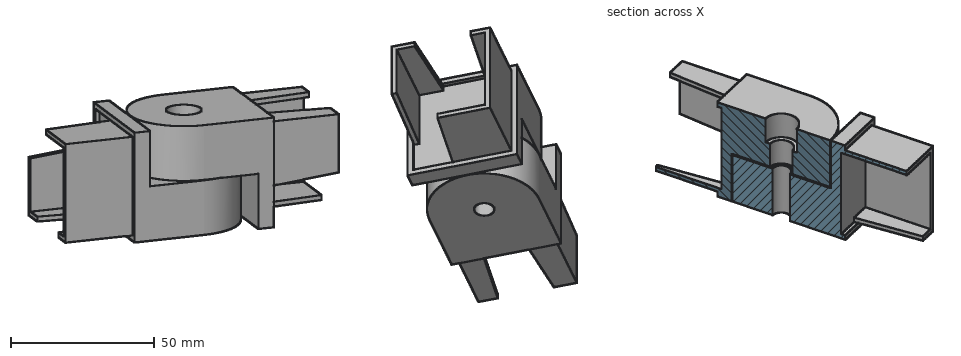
import cadquery as cq

length = 102.0
width = 40.0
flange_face = 26.0
flange_step = 20.2
knuckle_radius = width / 2
knuckle_gap = 0.2

rim = 2.0
wall = 1.8
recess_depth = 1.5
socket_width = width - 2 * rim
socket_inner = socket_width - 2 * wall
half_socket = socket_width / 2
tip = length / 2
recess_floor = flange_face - recess_depth

taper = 2.3
top_opening_edge = -1.2
bottom_opening_left = -9.6
bottom_opening_right = 10.9
side_opening_edge = 3.3

head_bore_diameter = 12.5
head_bore_depth = width / 4
upper_bore_diameter = 9.0
lower_bore_diameter = 7.0


def box(x_range, y_range, z_range):
    """Axis-aligned block between the given limits."""
    sizes = [high - low for low, high in (x_range, y_range, z_range)]
    corner = (x_range[0], y_range[0], z_range[0])
    return cq.Workplane("XY").box(*sizes, centered=False).translate(corner)


def flange():
    """Square plate with a shallow recess in its outer face."""
    half = width / 2
    plate = box((-half, half), (-flange_face, -flange_step), (-half, half))
    recess = box((-half_socket, half_socket), (-flange_face, -recess_floor), (-half_socket, half_socket))
    return plate.cut(recess)


def knuckle():
    """Lower tongue that ends in a round around the pivot axis."""
    base = -width / 2
    top = -knuckle_gap / 2
    shank = box((-width / 2, width / 2), (-flange_step, 0), (base, top))
    round_end = cq.Workplane("XY").workplane(offset=base).circle(knuckle_radius).extrude(top - base)
    return shank.union(round_end)


def socket():
    """Square tube along -Y with tapered openings in its top, bottom and left walls."""
    tube = (
        cq.Workplane("XZ", origin=(0, -recess_floor, 0))
        .rect(socket_width, socket_width)
        .rect(socket_inner, socket_inner)
        .extrude(tip - recess_floor)
    )

    inner = socket_inner / 2
    top_opening = (
        cq.Workplane("XY", origin=(0, 0, inner))
        .moveTo(-half_socket, -tip)
        .lineTo(top_opening_edge, -tip)
        .lineTo(top_opening_edge - taper, -recess_floor)
        .lineTo(-half_socket, -recess_floor)
        .close()
        .extrude(wall)
    )
    bottom_opening = (
        cq.Workplane("XY", origin=(0, 0, -half_socket))
        .moveTo(bottom_opening_left, -tip)
        .lineTo(bottom_opening_right, -tip)
        .lineTo(bottom_opening_right - taper, -recess_floor)
        .lineTo(bottom_opening_left + taper, -recess_floor)
        .close()
        .extrude(wall)
    )
    side_opening = (
        cq.Workplane("YZ", origin=(-half_socket, 0, 0))
        .moveTo(-tip, half_socket)
        .lineTo(-tip, side_opening_edge)
        .lineTo(-recess_floor, side_opening_edge + taper)
        .lineTo(-recess_floor, half_socket)
        .close()
        .extrude(wall)
    )
    return tube.cut(top_opening).cut(bottom_opening).cut(side_opening)


def hinge_half():
    """Undrilled half of the joint, with its socket towards -Y and its knuckle below."""
    return flange().union(knuckle()).union(socket())


def pivot_bore(diameter, bottom, top):
    """Cylinder on the pivot axis to be cut away between two heights."""
    return cq.Workplane("XY").workplane(offset=bottom).circle(diameter / 2).extrude(top - bottom)


def make_lower_half():
    """Half with its socket towards -Y, drilled with the smallest bore."""
    return hinge_half().cut(pivot_bore(lower_bore_diameter, -width / 2, 0))


def make_upper_half():
    """Point reflection of the lower half, with a counterbored pivot hole."""
    body = hinge_half()
    for plane in ("XY", "XZ", "YZ"):
        body = body.mirror(plane)
    body = body.cut(pivot_bore(upper_bore_diameter, 0, width / 2))
    return body.cut(pivot_bore(head_bore_diameter, width / 2 - head_bore_depth, width / 2))


lower_half = make_lower_half()
upper_half = make_upper_half()

result = cq.Compound.makeCompound([lower_half.solids().val(), upper_half.solids().val()])